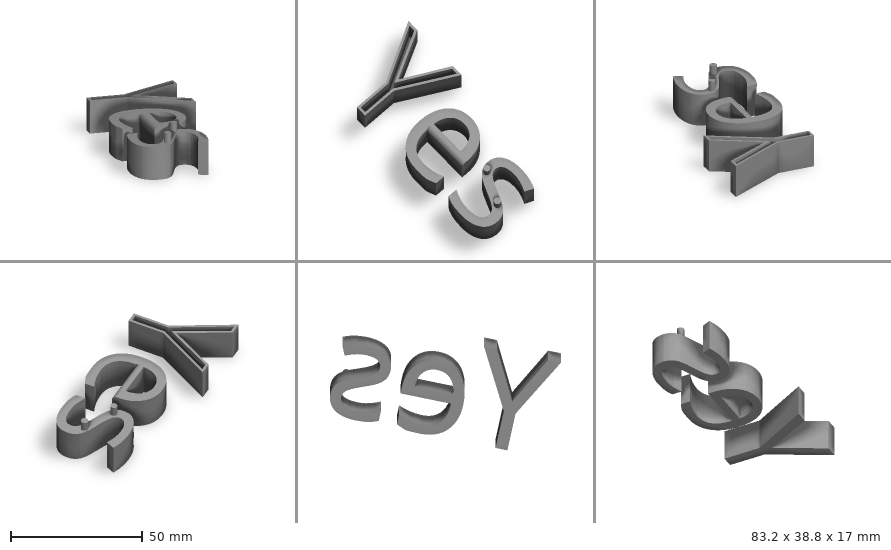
import cadquery as cq
import math

letter_height = 13.0
baseline_y = 0.5
x_height = 29.1
overshoot = -baseline_y
tail_low_y = 1.25
tail_high_y = 5.25

y_origin_x = 0.0
y_width = 30.0
y_cap_height = 38.3
y_arm_width = 5.0
y_crotch_height = 19.3
y_shoulder_height = 14.9
y_stem_width = 4.6
y_wall = 1.0
y_floor = y_wall

e_origin_x = 29.9
e_left = 3.0
e_right = 27.3
e_top_x = 15.6
e_bottom_x = 16.7
e_tail_x = 26.05
e_inner_left = 7.65
e_inner_right = 22.6
e_inner_top = 25.55
e_inner_bottom = 3.25
e_bar_bottom = 13.6
e_bar_top = 17.0
e_bar_fillet = 2.0
e_rounding_left = 7.4

s_origin_x = 60.0
s_left = 2.75
s_right = 23.2
s_tail_x = 3.0
s_inner_left = 6.9
s_inner_right = 19.0
s_inner_top = 25.6
s_inner_bottom = 3.1
pin_height = 4.0
pins = [(5.6, 18.6, 2.7), (18.1, 12.6, 2.8)]


def smooth_run(outline, controls, end):
    """Add smoothly joined quadratic curves, which meet midway between neighbouring control points."""
    for control, following in zip(controls, controls[1:]):
        joint = ((control[0] + following[0]) / 2, (control[1] + following[1]) / 2)
        outline = outline.bezier([control, joint], includeCurrent=True)
    return outline.bezier([controls[-1], end], includeCurrent=True)


def letter_plane(origin_x):
    return cq.Workplane("XY", origin=(origin_x, baseline_y, 0))


def make_letter_y():
    middle = y_width / 2
    stem_left = middle - y_stem_width / 2
    stem_right = middle + y_stem_width / 2
    outline = (
        letter_plane(y_origin_x)
        .polyline([
            (0, y_cap_height),
            (y_arm_width, y_cap_height),
            (middle, y_crotch_height),
            (y_width - y_arm_width, y_cap_height),
            (y_width, y_cap_height),
            (stem_right, y_shoulder_height),
            (stem_right, 0),
            (stem_left, 0),
            (stem_left, y_shoulder_height),
        ])
        .close()
    )
    body = outline.extrude(letter_height)
    pocket = (
        body.faces(">Z").wires().toPending()
        .offset2D(-y_wall, "intersection")
        .extrude(y_floor - letter_height, combine=False)
    )
    return body.cut(pocket)


def make_letter_e():
    outline = letter_plane(e_origin_x).moveTo(e_tail_x, tail_low_y)
    outline = smooth_run(outline, [(23.8, 0.25), (21.8, overshoot)], (e_bottom_x, overshoot))
    outline = smooth_run(outline, [(10.3, overshoot), (e_left, 7.2)], (e_left, 14.1))
    outline = smooth_run(outline, [(e_left, 21.0), (9.8, x_height)], (e_top_x, x_height))
    outline = smooth_run(outline, [(21.0, x_height), (e_right, 22.05)], (e_right, 16.3))
    outline = outline.lineTo(e_right, e_bar_bottom).lineTo(e_inner_left, e_bar_bottom)
    outline = smooth_run(
        outline, [(e_inner_left, 8.3), (12.4, e_inner_bottom)], (e_bottom_x, e_inner_bottom)
    )
    outline = smooth_run(outline, [(21.4, e_inner_bottom)], (e_tail_x, tail_high_y))
    body = outline.close().extrude(letter_height)

    opening = letter_plane(e_origin_x).moveTo(e_inner_right, e_bar_top)
    opening = smooth_run(
        opening, [(e_inner_right, 21.1), (18.7, e_inner_top)], (e_top_x, e_inner_top)
    )
    opening = smooth_run(
        opening, [(12.0, e_inner_top), (7.9, 20.9)], (e_inner_left, e_bar_top)
    )
    body = body.cut(opening.close().extrude(letter_height))

    arc_middle = e_bar_fillet * (1 - math.sqrt(0.5))
    rounding_start = (
        e_origin_x + e_rounding_left,
        baseline_y + e_bar_bottom,
        letter_height - e_bar_fillet,
    )
    waste = (
        cq.Workplane("YZ", origin=rounding_start)
        .lineTo(0, e_bar_fillet)
        .lineTo(e_bar_fillet, e_bar_fillet)
        .threePointArc((arc_middle, e_bar_fillet - arc_middle), (0, 0))
        .close()
        .extrude(e_right - e_rounding_left)
    )
    return body.cut(waste)


def make_letter_s():
    outline = letter_plane(s_origin_x).moveTo(s_right, 7.9)
    outline = smooth_run(outline, [(s_right, 3.8), (17.15, overshoot)], (11.7, overshoot))
    outline = smooth_run(outline, [(6.1, overshoot)], (s_tail_x, tail_low_y))
    outline = outline.lineTo(s_tail_x, tail_high_y)
    outline = smooth_run(outline, [(5.2, 4.25), (9.15, s_inner_bottom)], (11.8, s_inner_bottom))
    outline = smooth_run(outline, [(15.2, s_inner_bottom), (s_inner_right, 5.2)], (s_inner_right, 7.4))
    outline = smooth_run(outline, [(s_inner_right, 9.1), (16.0, 11.5)], (11.8, 13.1))
    outline = smooth_run(outline, [(7.8, 14.6), (4.4, 16.8), (s_left, 19.6)], (s_left, 21.6))
    outline = smooth_run(outline, [(s_left, 25.2), (8.6, x_height)], (13.65, x_height))
    outline = smooth_run(outline, [(18.4, x_height)], (22.7, 27.3))
    outline = outline.lineTo(21.1, 23.7)
    outline = smooth_run(outline, [(17.0, s_inner_top)], (13.4, s_inner_top))
    outline = smooth_run(outline, [(10.2, s_inner_top), (s_inner_left, 23.6)], (s_inner_left, 21.8))
    outline = smooth_run(outline, [(s_inner_left, 20.6), (8.2, 19.05), (10.9, 17.5)], (14.65, 16.1))
    outline = smooth_run(outline, [(19.8, 14.2), (s_right, 10.6)], (s_right, 7.9))
    body = outline.close().extrude(letter_height)

    for pin_x, pin_y, pin_diameter in pins:
        pin = (
            letter_plane(s_origin_x)
            .center(pin_x, pin_y)
            .circle(pin_diameter / 2)
            .extrude(letter_height + pin_height)
        )
        body = body.union(pin)
    return body


letter_y = make_letter_y()
letter_e = make_letter_e()
letter_s = make_letter_s()

result = cq.Compound.makeCompound([
    *letter_y.solids().vals(),
    *letter_e.solids().vals(),
    *letter_s.solids().vals(),
])